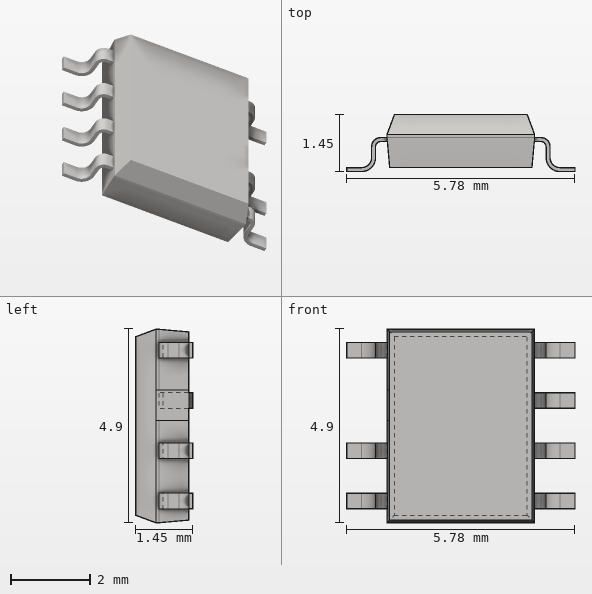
import cadquery as cq
import math


body_width = 3.74
body_length = 4.90
standoff = 0.105
parting_bottom = 0.865
parting_top = 0.94
body_top = 1.45
lower_inset = 0.067
upper_inset = 0.19

gate_length = 0.766
gate_centre_z = 0.522

lead_span = 5.78
lead_width = 0.40
lead_thickness = 0.105
lead_pitch = 1.27
lead_row_offset = 0.01
leads_per_side = 4
missing_left_lead = 2
foot_length = 0.38
foot_bend_inner = 0.25
shoulder_bend_inner = 0.13
lead_embed = 0.20


def centred_rectangle(y, inset):
    """Body section parallel to XZ at height y, drawn in by inset on every side."""
    plane = cq.Plane(origin=(0, y, 0), xDir=(1, 0, 0), normal=(0, 1, 0))
    return cq.Workplane(plane).rect(body_width - 2 * inset, body_length - 2 * inset).val()


def body_section_loft(y_start, inset_start, y_end, inset_end):
    """Straight-sided solid between two centred rectangles."""
    sections = [centred_rectangle(y_start, inset_start), centred_rectangle(y_end, inset_end)]
    return cq.Workplane(obj=cq.Solid.makeLoft(sections, True))


def make_body():
    """Lower half, straight parting band and upper half of the moulding."""
    lower = body_section_loft(standoff, lower_inset, parting_bottom, 0)
    band = body_section_loft(parting_bottom, 0, parting_top, 0)
    upper = body_section_loft(parting_top, 0, body_top, upper_inset)
    return lower.union(band).union(upper)


def make_gate_cut():
    """Thin wedge that leaves one flat face from the parting top to the body's lower edge."""
    side_x = -body_width / 2
    return (
        cq.Workplane("XY", origin=(0, 0, gate_centre_z))
        .moveTo(side_x, parting_top)
        .lineTo(side_x + lower_inset, standoff)
        .lineTo(side_x, standoff)
        .close()
        .extrude(gate_length / 2, both=True)
    )


def make_right_lead(z):
    """Bent strip on the +X side: foot, foot bend, leg, shoulder bend and shoulder."""
    foot_bend_outer = foot_bend_inner + lead_thickness
    shoulder_bend_outer = shoulder_bend_inner + lead_thickness
    diagonal = math.sqrt(0.5)

    tip_x = lead_span / 2
    foot_bend_x = tip_x - foot_length
    leg_inner_x = foot_bend_x - foot_bend_outer
    leg_outer_x = leg_inner_x + lead_thickness
    shoulder_bend_x = leg_inner_x - shoulder_bend_inner
    root_x = body_width / 2 - lead_embed

    shoulder_top = parting_bottom
    shoulder_bottom = shoulder_top - lead_thickness
    shoulder_bend_y = shoulder_top - shoulder_bend_outer
    foot_bend_y = foot_bend_outer

    def on_foot_bend(radius):
        return (foot_bend_x - radius * diagonal, foot_bend_y - radius * diagonal)

    def on_shoulder_bend(radius):
        return (shoulder_bend_x + radius * diagonal, shoulder_bend_y + radius * diagonal)

    return (
        cq.Workplane("XY", origin=(0, 0, z))
        .moveTo(tip_x, 0)
        .lineTo(foot_bend_x, 0)
        .threePointArc(on_foot_bend(foot_bend_outer), (leg_inner_x, foot_bend_y))
        .lineTo(leg_inner_x, shoulder_bend_y)
        .threePointArc(on_shoulder_bend(shoulder_bend_inner), (shoulder_bend_x, shoulder_bottom))
        .lineTo(root_x, shoulder_bottom)
        .lineTo(root_x, shoulder_top)
        .lineTo(shoulder_bend_x, shoulder_top)
        .threePointArc(on_shoulder_bend(shoulder_bend_outer), (leg_outer_x, shoulder_bend_y))
        .lineTo(leg_outer_x, foot_bend_y)
        .threePointArc(on_foot_bend(foot_bend_inner), (foot_bend_x, lead_thickness))
        .lineTo(tip_x, lead_thickness)
        .close()
        .extrude(lead_width / 2, both=True)
    )


result = make_body().cut(make_gate_cut())

for index in range(leads_per_side):
    lead_z = (index - (leads_per_side - 1) / 2) * lead_pitch + lead_row_offset
    right_lead = make_right_lead(lead_z)
    result = result.union(right_lead)
    if index != missing_left_lead:
        result = result.union(right_lead.mirror("YZ"))